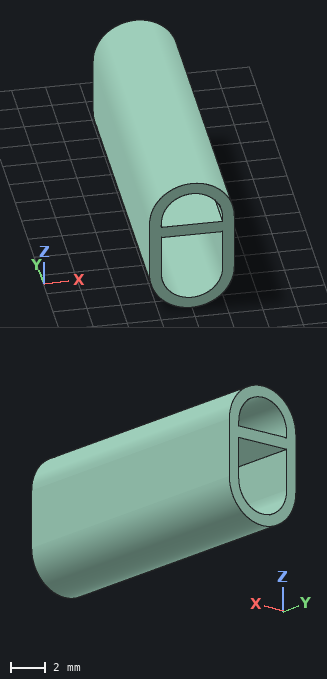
import cadquery as cq

width = 5.0
length = 18.0
height = 8.5

wall = 0.7
divider_height = 1.1


def rounded_bar(bar_width, bar_height):
    """Bar along Y with a section of straight sides and half-round top and bottom."""
    return (
        cq.Workplane("XZ")
        .slot2D(bar_height, bar_width, angle=90)
        .extrude(length / 2, both=True)
    )


outer = rounded_bar(width, height)
bore = rounded_bar(width - 2 * wall, height - 2 * wall)
tube = outer.cut(bore)

divider = cq.Workplane("XY").box(width - wall, length, wall).translate((0, 0, divider_height))

result = tube.union(divider)